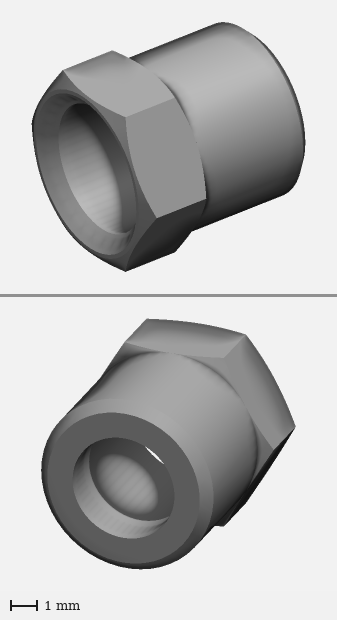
import cadquery as cq
import math

corner_width = 8.08
flat_width = corner_width * math.sqrt(3) / 2
total_length = 8.0
hex_length = 3.0
body_radius = flat_width / 2

hex_chamfer_angle = math.radians(30)
hex_face_radius = 3.39
body_chamfer = 0.4

countersink_radius = 3.23
bore_radius = 2.63
countersink_depth = countersink_radius - bore_radius
bore_depth = 6.0
hole_radius = 2.07
hole_edge_radius = 0.31


def revolve_profile(points):
    """Revolve (radius, y) points around the Y axis."""
    return cq.Workplane("XY").polyline(points).close().revolve(360, (0, 0), (0, 1))


def chamfered_hex():
    """Hexagon with flats facing +Z and -Z and its corners turned to a cone at both ends."""
    prism = cq.Workplane("XZ").polygon(6, corner_width).extrude(-hex_length)
    corner_radius = corner_width / 2
    slope = math.tan(hex_chamfer_angle)
    front_drop = (corner_radius - hex_face_radius) * slope
    back_drop = (corner_radius - body_radius) * slope
    envelope = revolve_profile([
        (0, 0),
        (hex_face_radius, 0),
        (corner_radius, front_drop),
        (corner_radius, hex_length - back_drop),
        (body_radius, hex_length),
        (0, hex_length),
    ])
    return prism.intersect(envelope)


def round_body():
    """Cylinder from inside the hex to the far end, chamfered at its free edge."""
    body_start = hex_length / 2
    return revolve_profile([
        (0, body_start),
        (body_radius, body_start),
        (body_radius, total_length - body_chamfer),
        (body_radius - body_chamfer, total_length),
        (0, total_length),
    ])


def stepped_bore():
    """Countersunk bore leading to a smaller through hole with a rounded entry."""
    arc_step = hole_edge_radius * (1 - math.sqrt(0.5))
    return (
        cq.Workplane("XY")
        .lineTo(countersink_radius, 0)
        .lineTo(bore_radius, countersink_depth)
        .lineTo(bore_radius, bore_depth)
        .lineTo(hole_radius + hole_edge_radius, bore_depth)
        .threePointArc(
            (hole_radius + arc_step, bore_depth + arc_step),
            (hole_radius, bore_depth + hole_edge_radius),
        )
        .lineTo(hole_radius, total_length)
        .lineTo(0, total_length)
        .close()
        .revolve(360, (0, 0), (0, 1))
    )


result = chamfered_hex().union(round_body()).cut(stepped_bore())